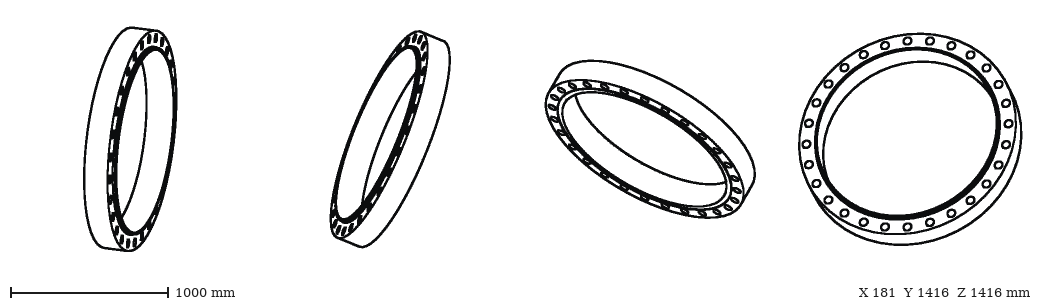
import cadquery as cq

outer_diameter = 1416.0
bore_diameter = 1174.0
total_length = 181.0

face_diameter = 1243.0
face_height = 4.0

stub_base_diameter = 1208.0
stub_lip_diameter = 1200.0
stub_length = 20.0
stub_lip_length = 7.0

bolt_count = 28
bolt_circle_diameter = 1320.0
bolt_hole_diameter = 51.0

x_start = -total_length / 2
x_flange_front = x_start + face_height
x_end = total_length / 2
x_flange_back = x_end - stub_length
x_lip = x_end - stub_lip_length


def ring_body():
    """Revolve the half section, drawn as (axial position, radius), around X."""
    return (
        cq.Workplane("XZ")
        .moveTo(x_start, bore_diameter / 2)
        .lineTo(x_start, face_diameter / 2)
        .lineTo(x_flange_front, face_diameter / 2)
        .lineTo(x_flange_front, outer_diameter / 2)
        .lineTo(x_flange_back, outer_diameter / 2)
        .lineTo(x_flange_back, stub_base_diameter / 2)
        .lineTo(x_lip, stub_lip_diameter / 2)
        .lineTo(x_end, stub_lip_diameter / 2)
        .lineTo(x_end, bore_diameter / 2)
        .close()
        .revolve(360, (0, 0, 0), (1, 0, 0))
    )


def bolt_holes():
    """Cylinders through the flange, the first one on the +Y axis."""
    return (
        cq.Workplane("YZ", origin=(x_start, 0, 0))
        .polarArray(bolt_circle_diameter / 2, 0, 360, bolt_count)
        .circle(bolt_hole_diameter / 2)
        .extrude(total_length)
    )


result = ring_body().cut(bolt_holes())